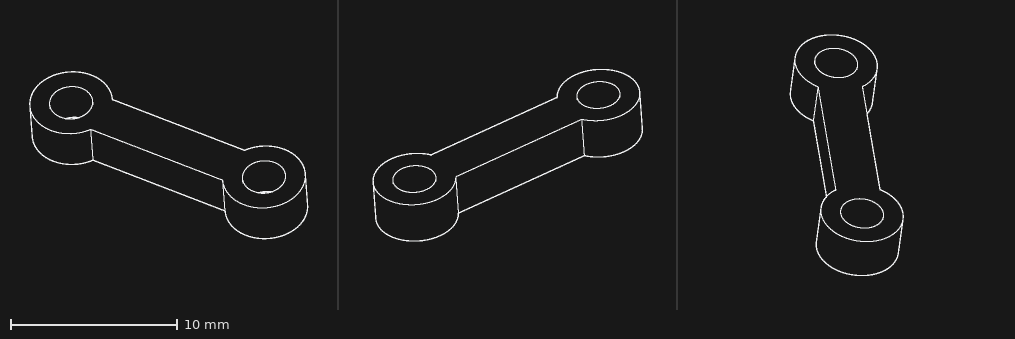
import cadquery as cq

eye_diameter = 5.0
hole_diameter = 2.6
hole_spacing = 13.32
bar_width = 2.7
thickness = 2.8
tilt_angle = 5.9

hole_centers = [(-hole_spacing / 2, 0), (hole_spacing / 2, 0)]


def make_flat_link():
    """Straight bar joining two round eyes, each with a through hole."""
    bar = cq.Workplane("XY").box(hole_spacing, bar_width, thickness)
    base = cq.Workplane("XY").workplane(offset=-thickness / 2)
    eyes = base.pushPoints(hole_centers).circle(eye_diameter / 2).extrude(thickness)
    holes = base.pushPoints(hole_centers).circle(hole_diameter / 2).extrude(thickness)
    return bar.union(eyes).cut(holes)


result = make_flat_link().rotate((0, 0, 0), (1, 0, 0), tilt_angle)